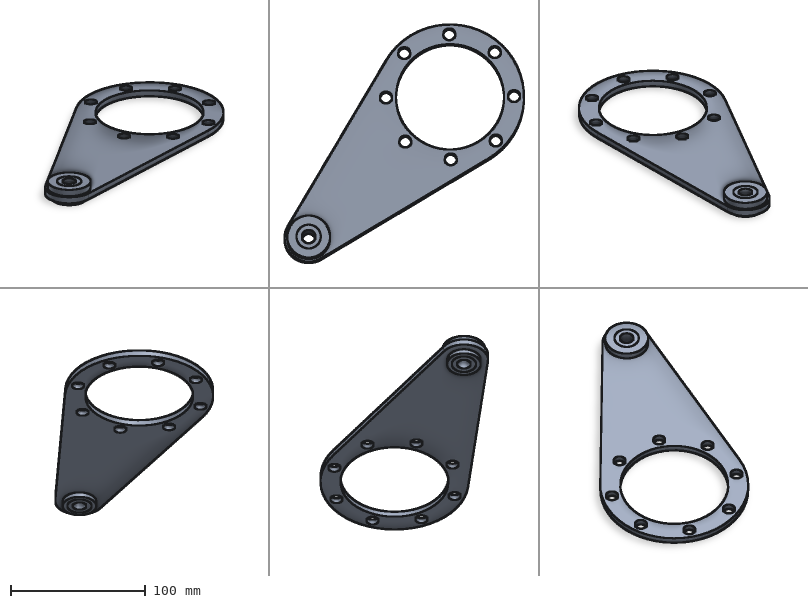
import cadquery as cq
import math

overall_length = 223.0
ring_diameter = 110.0
opening_diameter = 80.0
pivot_distance = 150.0
plate_thickness = 5.0

ring_radius = ring_diameter / 2
pivot_end_radius = overall_length - pivot_distance - ring_radius

bolt_count = 8
bolt_circle_diameter = 95.0
bolt_hole_diameter = 9.0

bush_diameter = 18.0
bore_diameter = 10.0
upper_collar_diameter = 32.0
upper_collar_height = 5.1
lower_collar_diameter = 25.0
lower_collar_height = 4.0

pivot = (0, -pivot_distance)


def tube(outer_diameter, inner_diameter, bottom, height):
    """Upright tube on the pivot axis."""
    return (
        cq.Workplane("XY", origin=(*pivot, bottom))
        .circle(outer_diameter / 2)
        .circle(inner_diameter / 2)
        .extrude(height)
    )


def plate_blank():
    """Two round ends joined by their common outer tangents."""
    sine = (ring_radius - pivot_end_radius) / pivot_distance
    cosine = math.sqrt(1 - sine**2)
    ring_x, ring_y = ring_radius * cosine, -ring_radius * sine
    end_x = pivot_end_radius * cosine
    end_y = -pivot_distance - pivot_end_radius * sine
    return (
        cq.Workplane("XY")
        .moveTo(ring_x, ring_y)
        .threePointArc((0, ring_radius), (-ring_x, ring_y))
        .lineTo(-end_x, end_y)
        .threePointArc((0, -pivot_distance - pivot_end_radius), (end_x, end_y))
        .close()
        .extrude(plate_thickness)
    )


def make_plate():
    """Arm plate with its opening, bolt holes and bush hole."""
    opening = cq.Workplane("XY").circle(opening_diameter / 2).extrude(plate_thickness)
    bolt_holes = (
        cq.Workplane("XY")
        .polarArray(bolt_circle_diameter / 2, 0, 360, bolt_count)
        .circle(bolt_hole_diameter / 2)
        .extrude(plate_thickness)
    )
    bush_hole = cq.Workplane("XY").center(*pivot).circle(bush_diameter / 2).extrude(plate_thickness)
    return plate_blank().cut(opening).cut(bolt_holes).cut(bush_hole)


def make_upper_collar():
    """Wide collar resting on top of the plate."""
    return tube(upper_collar_diameter, bush_diameter, plate_thickness, upper_collar_height)


def make_lower_collar():
    """Narrower collar against the underside of the plate."""
    return tube(lower_collar_diameter, bush_diameter, -lower_collar_height, lower_collar_height)


def make_bush():
    """Bored bush passing through both collars and the plate."""
    bush_length = lower_collar_height + plate_thickness + upper_collar_height
    return tube(bush_diameter, bore_diameter, -lower_collar_height, bush_length)


plate = make_plate()
upper_collar = make_upper_collar()
lower_collar = make_lower_collar()
bush = make_bush()

result = cq.Compound.makeCompound([plate.solids().val(), upper_collar.val(), lower_collar.val(), bush.val()])